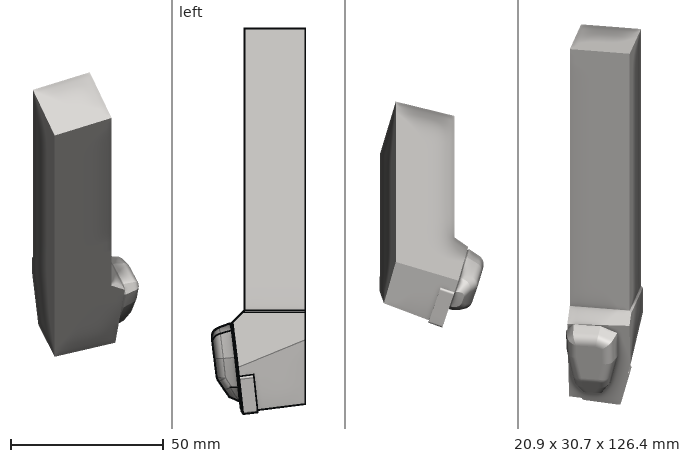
import cadquery as cq
import math

length = 126.4
shank_side = 20.0

head_offset = 0.6
head_top = 33.4
crest_start = 34.1
lower_corner = (5.0, 3.3)
upper_corner = (3.5, 0.8)

cutting_corner = (3.0, 20.3, -0.06)
rake_x = 0.04
rake_z = 0.12

inscribed_circle = 12.8
insert_thickness = 4.8
nose_radius = 0.8
end_angle = 5.0
corner_angle = 100.0

clamp_height = 6.8
clamp_bevel = 0.5
bevel_angle = 45.0
clamp_draft = 14.0
clamp_round = 3.3
clamp_left = 0.5
clamp_right = 17.4
clamp_back = 30.1
back_left = (5.4, 2.3)
back_right = (2.5, 2.5)
clamp_tip = 4.4
left_waist = 19.0
right_waist = 20.8
cheek = (2.4, 4.7)
tip_inset = 5.7
slope_top = 12.6
slope_foot = 6.2
slope_foot_height = 3.5
crown_level = 4.2

rake = cq.Plane(origin=cutting_corner, xDir=(1, rake_x, 0), normal=(rake_x, -1, rake_z))
beyond = 3 * shank_side


def from_corner(along_end, along_flank):
    """Offset from a corner of the head, measured along its end edge and its flank edge."""
    end = math.radians(end_angle)
    flank = math.radians(end_angle + corner_angle)
    x = along_end * math.cos(end) + along_flank * math.cos(flank)
    y = along_end * math.sin(end) + along_flank * math.sin(flank)
    return (x, y)


def rhombus(side):
    return [from_corner(0, 0), from_corner(side, 0), from_corner(side, side), from_corner(0, side)]


def make_insert():
    side = inscribed_circle / math.sin(math.radians(corner_angle))
    plate = cq.Workplane(rake).polyline(rhombus(side)).close().extrude(insert_thickness)
    return plate.edges(cq.selectors.ParallelDirSelector(rake.zDir)).fillet(nose_radius)


def make_shank():
    bar = cq.Workplane("XY", origin=(0, 0, head_top)).rect(shank_side, shank_side, centered=False)
    return bar.extrude(length - head_top)


def make_relief():
    """The space inside the flank and the end face, which both lean outwards towards +Y."""
    x, z = lower_corner
    reach = beyond / shank_side
    lean = cq.Vector(upper_corner[0] - x, shank_side, upper_corner[1] - z) * reach
    outline = [cq.Vector(x + dx, 0, z + dz) for dx, dz in rhombus(beyond)]
    base = cq.Wire.makePolygon(outline, close=True)
    return cq.Workplane(cq.Solid.extrudeLinear(base, [], lean))


def make_head():
    top = head_top + head_offset
    back = [(0, 0), (0, top), (shank_side + crest_start - top, top), (shank_side + crest_start, 0)]
    block = cq.Workplane("YZ", origin=(-head_offset, 0, 0)).polyline(back).close()
    block = block.extrude(head_offset + shank_side)
    step = [(-head_offset, 0), (-head_offset, head_top), (0, top), (shank_side, top), (shank_side, 0)]
    sides = cq.Workplane("XZ").polyline(step).close().extrude(-beyond)
    below_rake = cq.Workplane(rake).rect(2 * beyond, 2 * beyond).extrude(beyond)
    return block.intersect(sides).intersect(make_relief()).intersect(below_rake)


def clamp_rim():
    """Widest outline of the clamp, drawn at the top of its undercut."""
    outline = [
        (clamp_left + back_left[0], clamp_back),
        (clamp_left, clamp_back - back_left[1]),
        (clamp_left, left_waist),
        (clamp_left + cheek[0], clamp_tip + cheek[1]),
        (clamp_left + tip_inset, clamp_tip),
        (clamp_right - tip_inset, clamp_tip),
        (clamp_right - cheek[0], clamp_tip + cheek[1]),
        (clamp_right, right_waist),
        (clamp_right, clamp_back - back_right[1]),
        (clamp_right - back_right[0], clamp_back),
    ]
    return cq.Workplane(rake).workplane(offset=-clamp_bevel).polyline(outline).close()


def make_clamp():
    foot = clamp_rim().extrude(clamp_bevel, taper=bevel_angle)
    lug = clamp_rim().extrude(clamp_bevel - clamp_height, taper=clamp_draft).union(foot)
    nose = [
        (slope_top, clamp_height),
        (slope_foot, slope_foot_height),
        (clamp_tip, clamp_bevel),
        (clamp_tip, clamp_height),
    ]
    side_plane = cq.Plane(origin=cutting_corner, xDir=rake.yDir, normal=-rake.xDir)
    lug = lug.cut(cq.Workplane(side_plane).polyline(nose).close().extrude(beyond, both=True))
    crown = lug.edges().filter(lambda edge: -rake.toLocalCoords(edge.Center()).z > crown_level)
    return lug.newObject(crown.vals()).fillet(clamp_round)


insert = make_insert()
holder = make_shank().union(make_head()).union(make_clamp()).cut(insert)

result = cq.Compound.makeCompound([holder.solids().val(), insert.val()])